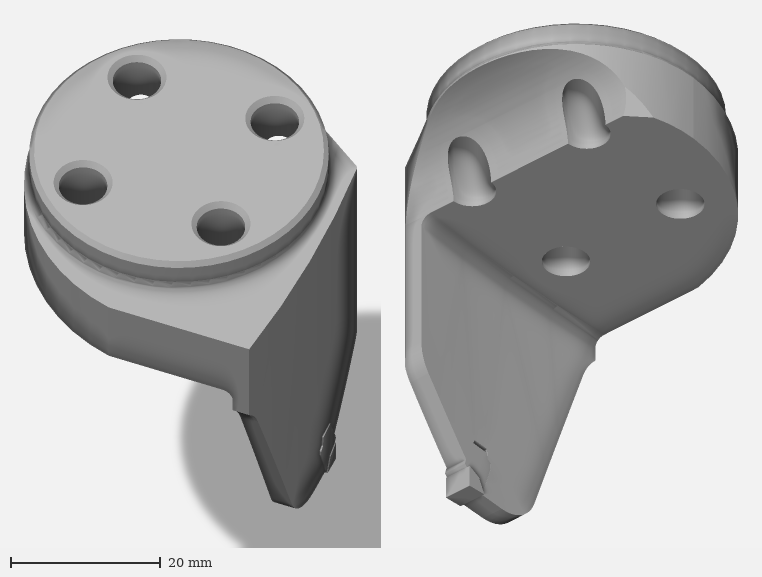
import cadquery as cq
import math

overall_height = 54.0

boss_radius = 40.0 / 2
boss_chamfer = 0.65
boss_height = 4.45
boss_root_radius = 0.9

flange_bottom = -14.4
back_radius = 20.3
front_y = -25.5
front_left_x = -0.1
back_flat_angle = 55.0
back_corner_radius = 0.55
bevel_points = [(-19.15, 6.85, flange_bottom), (-16.9, 11.35, -10.05), (-16.2, 9.8, flange_bottom)]

hole_diameter = 6.5
hole_offset = 9.9
hole_chamfer = 0.7

outer_x = 22.2
outer_radius = 151.2
inner_x = 18.9
inner_radius = 259.2
blade_back_y = 9.8
blade_bottom = -53.4
relief_radius = 10.6
blade_root_radius = 1.5
edge_top = (-23.2, -21.7)
edge_angle = 70.7
shoulder_z = -18.05
tip_radius = 6.9
slant_top_z = -37.9
slant_end_z = -49.55
slant_radius = 6.65

insert_top = -45.1
insert_top_back_y = -1.6
insert_top_front_y = -4.2
insert_shoulder = (-4.3, -46.65)
insert_front_y = -5.0
insert_front_top_z = -47.1
insert_front_bottom_z = -47.9
insert_nose = (0.4, -50.2)
insert_exit_y = 0.2
rake_bend = (-1.95, -51.4)
insert_body_outer_x = 22.35
insert_head_inner_x = 18.4
insert_head_outer_x = insert_head_inner_x + 4.1
insert_chamfer_height = 0.65
insert_chamfer_depth = 2.15
rake_top_z = -50.65
insert_heel = (-3.1, -53.6)
insert_tip = (0.0, -overall_height)

reach = 32.4


def arc_x(crown_x, radius, y):
    """X on an arc whose centre lies on the X axis and whose +X crown is at crown_x."""
    return crown_x - radius + math.sqrt(radius**2 - y**2)


def plan_prism(top, bottom):
    """Flange outline between two heights."""
    left_centre_x = (front_left_x**2 + front_y**2 - back_radius**2) / (2 * (back_radius + front_left_x))
    left_radius = left_centre_x + back_radius
    left_mid_y = front_y / 2
    left_mid_x = left_centre_x - math.sqrt(left_radius**2 - left_mid_y**2)

    angle = math.radians(back_flat_angle)
    tangent_point = (back_radius * math.cos(angle), back_radius * math.sin(angle))
    back_mid_angle = (angle + math.pi) / 2
    back_mid = (back_radius * math.cos(back_mid_angle), back_radius * math.sin(back_mid_angle))
    corner_x = arc_x(outer_x, outer_radius, blade_back_y)
    corner_y = (back_radius - corner_x * math.cos(angle)) / math.sin(angle)
    corner_x = arc_x(outer_x, outer_radius, corner_y)

    return (
        cq.Workplane("XY", origin=(0, 0, bottom))
        .moveTo(-back_radius, 0)
        .threePointArc((left_mid_x, left_mid_y), (front_left_x, front_y))
        .lineTo(arc_x(outer_x, outer_radius, front_y), front_y)
        .threePointArc((outer_x, 0), (corner_x, corner_y))
        .lineTo(*tangent_point)
        .threePointArc(back_mid, (-back_radius, 0))
        .close()
        .extrude(top - bottom)
        .edges(cq.selectors.NearestToPointSelector((corner_x, corner_y, (top + bottom) / 2)))
        .fillet(back_corner_radius)
    )


def make_boss():
    """Chamfered boss with a concave root, trimmed to the flange outline."""
    root_outer = boss_radius + boss_root_radius
    root_top = boss_root_radius - boss_height
    diagonal = boss_root_radius * math.sqrt(0.5)
    boss = (
        cq.Workplane("XZ")
        .moveTo(0, 0)
        .lineTo(boss_radius - boss_chamfer, 0)
        .lineTo(boss_radius, -boss_chamfer)
        .lineTo(boss_radius, root_top)
        .threePointArc((root_outer - diagonal, root_top - diagonal), (root_outer, -boss_height))
        .lineTo(0, -boss_height)
        .close()
        .revolve(360, (0, 0), (0, 1))
    )
    return boss.intersect(plan_prism(0, -boss_height))


def make_flange():
    """Flange with a concave relief at the back and a small bevel at its left end."""
    flange = plan_prism(-boss_height, flange_bottom)

    relief_z = -boss_height - relief_radius
    relief_y = blade_back_y + relief_radius
    diagonal = relief_radius * math.sqrt(0.5)
    relief = (
        cq.Workplane("YZ", origin=(-reach, 0, 0))
        .moveTo(blade_back_y, relief_z)
        .threePointArc((relief_y - diagonal, relief_z + diagonal), (relief_y, -boss_height))
        .lineTo(reach, -boss_height)
        .lineTo(reach, relief_z)
        .close()
        .extrude(2 * reach)
    )

    first, second, third = [cq.Vector(*point) for point in bevel_points]
    normal = (second - first).cross(third - first)
    bevel = cq.Workplane(cq.Plane(origin=first, xDir=third - first, normal=normal))
    bevel = bevel.rect(2 * reach, 2 * reach).extrude(reach)
    return flange.cut(relief).cut(bevel)


def make_blade():
    """Plate between two arcs, shaped to the blade's side outline."""
    height = flange_bottom - blade_bottom
    plate = (
        cq.Workplane("XY", origin=(0, 0, blade_bottom))
        .moveTo(arc_x(inner_x, inner_radius, front_y), front_y)
        .lineTo(reach, front_y)
        .lineTo(reach, blade_back_y)
        .lineTo(arc_x(inner_x, inner_radius, blade_back_y), blade_back_y)
        .threePointArc((inner_x, 0), (arc_x(inner_x, inner_radius, front_y), front_y))
        .close()
        .extrude(height)
        .intersect(plan_prism(flange_bottom, blade_bottom))
    )

    angle = math.radians(edge_angle)
    edge_y, edge_z = edge_top
    tip_corner_y = edge_y + (edge_z - blade_bottom) / math.tan(angle)
    side = (
        cq.Workplane("YZ")
        .moveTo(blade_back_y, flange_bottom)
        .lineTo(blade_back_y, slant_top_z)
        .lineTo(0, slant_end_z)
        .lineTo(insert_heel[0] / 2, blade_bottom)
        .lineTo(tip_corner_y, blade_bottom)
        .lineTo(*edge_top)
        .tangentArcPoint((front_y - edge_y, shoulder_z - edge_z), relative=True)
        .lineTo(front_y, flange_bottom)
        .close()
        .extrude(reach)
    )
    middle_x = reach / 2
    for y, z, radius in [
        (tip_corner_y, blade_bottom, tip_radius),
        (blade_back_y, slant_top_z, slant_radius),
    ]:
        side = side.edges(cq.selectors.NearestToPointSelector((middle_x, y, z))).fillet(radius)
    return plate.intersect(side)


def insert_prism(inner, outer):
    """Insert outline between two X positions."""
    return (
        cq.Workplane("YZ", origin=(inner, 0, 0))
        .polyline(
            [
                (insert_top_back_y, insert_top),
                (insert_top_front_y, insert_top),
                insert_shoulder,
                (insert_front_y, insert_front_top_z),
                (insert_front_y, insert_front_bottom_z),
                insert_heel,
                insert_tip,
                (0.0, rake_top_z),
                insert_nose,
                (insert_exit_y, slant_end_z),
            ]
        )
        .close()
        .extrude(outer - inner)
    )


def make_insert():
    """Insert body with a top chamfer and a wider cutting head."""
    body = insert_prism(inner_x, insert_body_outer_x)
    chamfer = (
        cq.Workplane("XZ", origin=(0, reach, 0))
        .moveTo(inner_x, insert_top)
        .lineTo(inner_x, insert_top - insert_chamfer_height)
        .lineTo(inner_x + insert_chamfer_depth, insert_top)
        .close()
        .extrude(2 * reach)
    )
    head = (
        cq.Workplane("YZ", origin=(insert_head_inner_x, 0, 0))
        .polyline([insert_tip, (0.0, rake_top_z), rake_bend, insert_heel])
        .close()
        .extrude(insert_head_outer_x - insert_head_inner_x)
    )
    return body.cut(chamfer).union(head)


def make_holder():
    """Boss, flange and blade in one solid, with screw holes and an insert pocket."""
    holder = make_boss().union(make_flange()).union(make_blade())
    holder = holder.edges(
        cq.selectors.NearestToPointSelector((inner_x, (front_y + blade_back_y) / 2, flange_bottom))
    ).fillet(blade_root_radius)

    hole_radius = hole_diameter / 2
    mouth_radius = hole_radius + hole_chamfer
    screw_hole = (
        cq.Workplane("XZ")
        .polyline(
            [
                (0, 0),
                (mouth_radius, 0),
                (hole_radius, -hole_chamfer),
                (hole_radius, flange_bottom),
                (0, flange_bottom),
            ]
        )
        .close()
        .revolve(360, (0, 0), (0, 1))
    )
    for x in (-hole_offset, hole_offset):
        for y in (-hole_offset, hole_offset):
            holder = holder.cut(screw_hole.translate((x, y, 0)))
    return holder.cut(insert_prism(insert_head_inner_x, insert_head_outer_x))


holder = make_holder()
cutting_insert = make_insert()

result = cq.Compound.makeCompound([holder.solids().val(), cutting_insert.solids().val()])